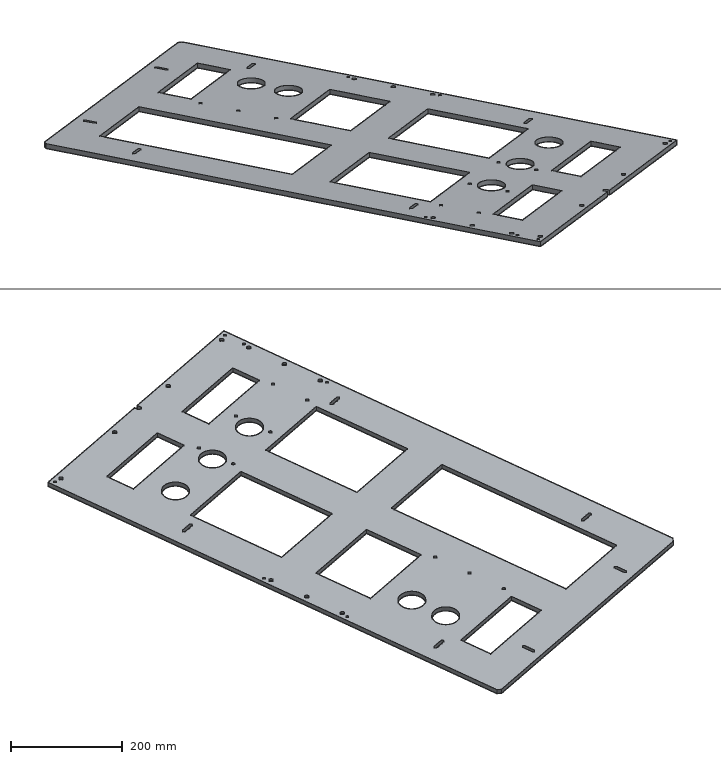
import cadquery as cq

LENGTH = 1003.0
WIDTH = 534.0
THICKNESS = 9.5
CORNER_CHAMFER = 6.0

WINDOW_OUTER_X = 426.0
WINDOW_INNER_X = 38.0
WINDOW_HEIGHT = 154.0
WINDOW_ROW_Y = 114.0
LEFT_NARROW_WIDTH = 66.0
LEFT_MEDIUM_WIDTH = 121.0
RIGHT_WIDE_WIDTH = 203.0
RIGHT_NARROW_WIDTH = 59.0

ROUND_DIAMETER = 50.0
ROUND_TOP_Y = 151.0
LEFT_ROUND_X = -260.0
LEFT_ROUND_PITCH = 75.0
RIGHT_ROUND_X = 303.0
RIGHT_ROUND_PITCH = 112.0
LEFT_ROUND_COUNT = 2
RIGHT_ROUND_COUNT = 3

SCREW_DIAMETER = 6.0
SCREW_TOP_Y = 28.0
LEFT_SCREW_COUNT = 3
RIGHT_SCREW_COLUMNS = 2
SCREW_PITCH = 76.0

SLOT_LENGTH = 26.0
SLOT_WIDTH = 6.0
END_SLOT_X = -473.0
END_SLOT_Y = 139.0
SIDE_SLOT_Y = 224.0
SIDE_SLOT_XS = (-335.0, 224.0)

HINGE_DIAMETER = 5.0
HINGE_BORE_DIAMETER = 8.0
HINGE_BORE_DEPTH = 4.5
HINGE_EDGE_OFFSET = 12.0
HINGE_PITCH = 79.0
HINGE_COUNT = 3
BACK_HINGE_X = -64.0
FRONT_HINGE_X = 358.0
PIN_DIAMETER = 5.0
PIN_EDGE_OFFSET = 9.0
PIN_SPAN = 185.0
PINS_PER_ROW = 2
END_HOLE_PITCH = 163.0
END_HOLE_COUNT = 4
END_PIN_SPAN = WIDTH - 2 * PIN_EDGE_OFFSET

NOTCH_WIDTH = 8.0
NOTCH_DEPTH = 11.0


def cutter():
    """Sketch plane on the underside for profiles cut through the plate."""
    return cq.Workplane("XY")


def window(x_start, width, y_center):
    """Rectangular cutter that starts at its left side x_start."""
    center = (x_start + width / 2, y_center)
    return cutter().center(*center).rect(width, WINDOW_HEIGHT).extrude(THICKNESS)


def holes(points, diameter):
    """Round cutters, as tall as the plate, rising from its underside."""
    return cutter().pushPoints(points).circle(diameter / 2).extrude(THICKNESS)


def slots(points, angle):
    """Round-ended slot cutters turned by an angle in degrees from the X axis."""
    return cutter().pushPoints(points).slot2D(SLOT_LENGTH, SLOT_WIDTH, angle).extrude(THICKNESS)


def centered_row(center, pitch, count):
    """Evenly spaced positions about a centre."""
    return [center + (i - (count - 1) / 2) * pitch for i in range(count)]


plate = (
    cq.Workplane("XY")
    .box(LENGTH, WIDTH, THICKNESS, centered=(True, True, False))
    .edges("|Z and <X")
    .chamfer(CORNER_CHAMFER)
)

left_full_width = WINDOW_OUTER_X - WINDOW_INNER_X
plate = plate.cut(window(-WINDOW_OUTER_X, LEFT_NARROW_WIDTH, WINDOW_ROW_Y))
plate = plate.cut(window(-WINDOW_INNER_X - LEFT_MEDIUM_WIDTH, LEFT_MEDIUM_WIDTH, WINDOW_ROW_Y))
plate = plate.cut(window(-WINDOW_OUTER_X, left_full_width, -WINDOW_ROW_Y))
for row_y in (WINDOW_ROW_Y, -WINDOW_ROW_Y):
    plate = plate.cut(window(WINDOW_INNER_X, RIGHT_WIDE_WIDTH, row_y))
    plate = plate.cut(window(WINDOW_OUTER_X - RIGHT_NARROW_WIDTH, RIGHT_NARROW_WIDTH, row_y))

left_rounds = [(x, ROUND_TOP_Y) for x in centered_row(LEFT_ROUND_X, LEFT_ROUND_PITCH, LEFT_ROUND_COUNT)]
right_rounds = [
    (RIGHT_ROUND_X, ROUND_TOP_Y - i * RIGHT_ROUND_PITCH) for i in range(RIGHT_ROUND_COUNT)
]
plate = plate.cut(holes(left_rounds + right_rounds, ROUND_DIAMETER))

screws = [(x, SCREW_TOP_Y) for x in centered_row(LEFT_ROUND_X, SCREW_PITCH, LEFT_SCREW_COUNT)]
for i in range(RIGHT_ROUND_COUNT):
    screw_y = SCREW_TOP_Y - i * RIGHT_ROUND_PITCH
    screws += [(x, screw_y) for x in centered_row(RIGHT_ROUND_X, SCREW_PITCH, RIGHT_SCREW_COLUMNS)]
plate = plate.cut(holes(screws, SCREW_DIAMETER))

end_slots = [(END_SLOT_X, y) for y in (END_SLOT_Y, -END_SLOT_Y)]
side_slots = [(x, y) for x in SIDE_SLOT_XS for y in (SIDE_SLOT_Y, -SIDE_SLOT_Y)]
plate = plate.cut(slots(end_slots, 0))
plate = plate.cut(slots(side_slots, 90))

hinge_holes = []
pin_holes = []
for side, hinge_x in ((1, BACK_HINGE_X), (-1, FRONT_HINGE_X)):
    hinge_y = side * (WIDTH / 2 - HINGE_EDGE_OFFSET)
    pin_y = side * (WIDTH / 2 - PIN_EDGE_OFFSET)
    hinge_holes += [(x, hinge_y) for x in centered_row(hinge_x, HINGE_PITCH, HINGE_COUNT)]
    pin_holes += [(x, pin_y) for x in centered_row(hinge_x, PIN_SPAN, PINS_PER_ROW)]
end_hole_x = LENGTH / 2 - HINGE_EDGE_OFFSET
end_pin_x = LENGTH / 2 - PIN_EDGE_OFFSET
hinge_holes += [(end_hole_x, y) for y in centered_row(0, END_HOLE_PITCH, END_HOLE_COUNT)]
pin_holes += [(end_pin_x, y) for y in centered_row(0, END_PIN_SPAN, PINS_PER_ROW)]
plate = plate.cut(holes(hinge_holes, HINGE_DIAMETER))
bore_floor = THICKNESS - HINGE_BORE_DEPTH
plate = plate.cut(holes(hinge_holes, HINGE_BORE_DIAMETER).translate((0, 0, bore_floor)))
plate = plate.cut(holes(pin_holes, PIN_DIAMETER))

notch = cutter().center(LENGTH / 2, 0).slot2D(2 * NOTCH_DEPTH, NOTCH_WIDTH).extrude(THICKNESS)
result = plate.cut(notch)